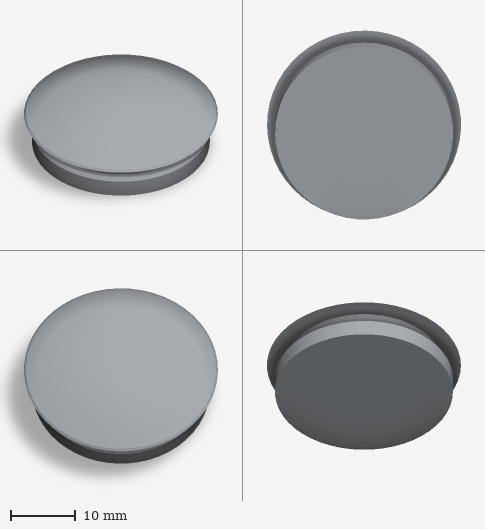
import cadquery as cq

cap_radius = 15.0
total_height = 8.7

base_radius = 27.5 / 2
base_height = 3.0
neck_radius = 24.5 / 2
cap_underside = 5.4

bevel = 0.3

dome_edge_radius = cap_radius - bevel
dome_edge_height = cap_underside + bevel
dome_rise = total_height - dome_edge_height
sphere_radius = (dome_edge_radius**2 + dome_rise**2) / (2 * dome_rise)

dome_mid_radius = dome_edge_radius / 2
dome_mid_height = total_height - sphere_radius + (sphere_radius**2 - dome_mid_radius**2) ** 0.5

half_section = (
    cq.Workplane("XZ")
    .lineTo(base_radius, 0)
    .lineTo(base_radius, base_height - bevel)
    .lineTo(base_radius - bevel, base_height)
    .lineTo(neck_radius, base_height)
    .lineTo(neck_radius, cap_underside)
    .lineTo(cap_radius, cap_underside)
    .lineTo(dome_edge_radius, dome_edge_height)
    .threePointArc((dome_mid_radius, dome_mid_height), (0, total_height))
    .close()
)

result = half_section.revolve(360, (0, 0, 0), (0, 1, 0))